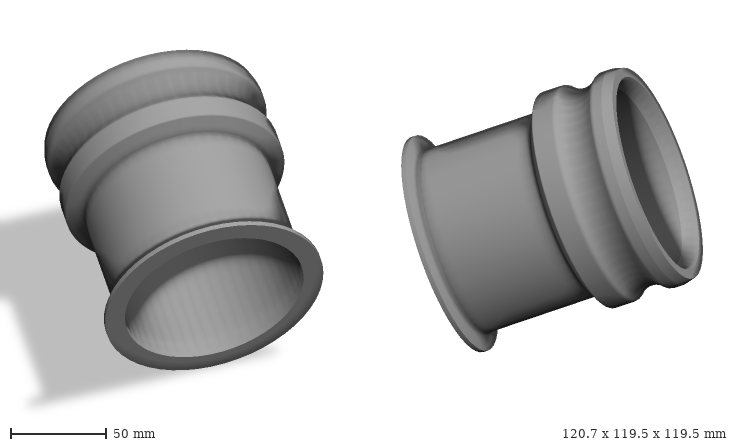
import cadquery as cq
import math

LENGTH = 120.65
ADAPTER_DIA = 119.46
FLANGE_DIA = 118.92
TUBE_DIA = 101.6
BORE_DIA = 97.38

NOSE_LENGTH = 5.75
NOSE_ANGLE = 15.0
MOUTH_DIA = 106.4
MOUTH_ANGLE = 30.0

GROOVE_CENTER_X = 22.55
GROOVE_RADIUS = 13.0
GROOVE_DEPTH = 5.0
GROOVE_EDGE_RADIUS = 3.175

SHOULDER_X = 45.6
SHOULDER_ANGLE = 30.0
SHOULDER_RADIUS = 1.2

FLANGE_RIM_LENGTH = 2.6
FLANGE_ANGLE = 20.0
FLANGE_ROOT_RADIUS = 1.5

ADAPTER_RADIUS = ADAPTER_DIA / 2
FLANGE_RADIUS = FLANGE_DIA / 2
TUBE_RADIUS = TUBE_DIA / 2
BORE_RADIUS = BORE_DIA / 2
MOUTH_RADIUS = MOUTH_DIA / 2


def slope(degrees):
    """Tangent of an angle given in degrees."""
    return math.tan(math.radians(degrees))


NOSE_RADIUS = ADAPTER_RADIUS - NOSE_LENGTH * slope(NOSE_ANGLE)
MOUTH_DEPTH = (MOUTH_RADIUS - BORE_RADIUS) / slope(MOUTH_ANGLE)
SHOULDER_END_X = SHOULDER_X + (ADAPTER_RADIUS - TUBE_RADIUS) * slope(SHOULDER_ANGLE)
FLANGE_RIM_X = LENGTH - FLANGE_RIM_LENGTH
FLANGE_ROOT_X = FLANGE_RIM_X - (FLANGE_RADIUS - TUBE_RADIUS) * slope(FLANGE_ANGLE)


def revolve_about_x(profile):
    """Close a profile drawn in the XY plane and turn it about the X axis."""
    return profile.close().revolve(360, (0, 0, 0), (1, 0, 0))


def make_outside():
    """Solid of revolution with sharp shoulder and flange corners."""
    return revolve_about_x(
        cq.Workplane("XY")
        .moveTo(0, 0)
        .lineTo(0, NOSE_RADIUS)
        .lineTo(NOSE_LENGTH, ADAPTER_RADIUS)
        .lineTo(SHOULDER_X, ADAPTER_RADIUS)
        .lineTo(SHOULDER_END_X, TUBE_RADIUS)
        .lineTo(FLANGE_ROOT_X, TUBE_RADIUS)
        .lineTo(FLANGE_RIM_X, FLANGE_RADIUS)
        .lineTo(LENGTH, FLANGE_RADIUS)
        .lineTo(LENGTH, 0)
    )


def circle_edge(x, radius):
    """Selector box holding only the circular edge at one X position and radius."""
    margin = 0.1
    reach = radius + margin
    return cq.selectors.BoxSelector(
        (x - margin, -reach, -reach), (x + margin, reach, reach), boundingbox=True
    )


def round_corners(body):
    """Fillet both ends of the shoulder and the root of the flange."""
    body = body.edges(circle_edge(SHOULDER_X, ADAPTER_RADIUS)).fillet(SHOULDER_RADIUS)
    body = body.edges(circle_edge(SHOULDER_END_X, TUBE_RADIUS)).fillet(SHOULDER_RADIUS)
    return body.edges(circle_edge(FLANGE_ROOT_X, TUBE_RADIUS)).fillet(FLANGE_ROOT_RADIUS)


def make_groove():
    """Ring cut from the adapter: a round groove blended into the rim by edge arcs."""
    groove_center_y = ADAPTER_RADIUS - GROOVE_DEPTH + GROOVE_RADIUS
    edge_center_y = ADAPTER_RADIUS - GROOVE_EDGE_RADIUS
    center_distance = GROOVE_RADIUS + GROOVE_EDGE_RADIUS
    half_width = math.sqrt(center_distance**2 - (groove_center_y - edge_center_y) ** 2)

    blend = GROOVE_RADIUS / center_distance
    touch_offset = half_width * blend
    touch_y = groove_center_y + (edge_center_y - groove_center_y) * blend

    half_turn = math.asin((half_width - touch_offset) / GROOVE_EDGE_RADIUS) / 2
    middle_offset = half_width - GROOVE_EDGE_RADIUS * math.sin(half_turn)
    middle_y = edge_center_y + GROOVE_EDGE_RADIUS * math.cos(half_turn)

    def left(offset, y):
        return (GROOVE_CENTER_X - offset, y)

    def right(offset, y):
        return (GROOVE_CENTER_X + offset, y)

    clearance = 1.0
    clearance_y = ADAPTER_RADIUS + clearance
    return revolve_about_x(
        cq.Workplane("XY")
        .moveTo(*left(half_width, clearance_y))
        .lineTo(*left(half_width, ADAPTER_RADIUS))
        .threePointArc(left(middle_offset, middle_y), left(touch_offset, touch_y))
        .threePointArc(
            (GROOVE_CENTER_X, ADAPTER_RADIUS - GROOVE_DEPTH), right(touch_offset, touch_y)
        )
        .threePointArc(right(middle_offset, middle_y), right(half_width, ADAPTER_RADIUS))
        .lineTo(*right(half_width, clearance_y))
    )


def make_bore():
    """Straight through bore with a conical mouth at the nose."""
    return revolve_about_x(
        cq.Workplane("XY")
        .moveTo(0, 0)
        .lineTo(0, MOUTH_RADIUS)
        .lineTo(MOUTH_DEPTH, BORE_RADIUS)
        .lineTo(LENGTH, BORE_RADIUS)
        .lineTo(LENGTH, 0)
    )


body = round_corners(make_outside())
result = body.cut(make_groove()).cut(make_bore())